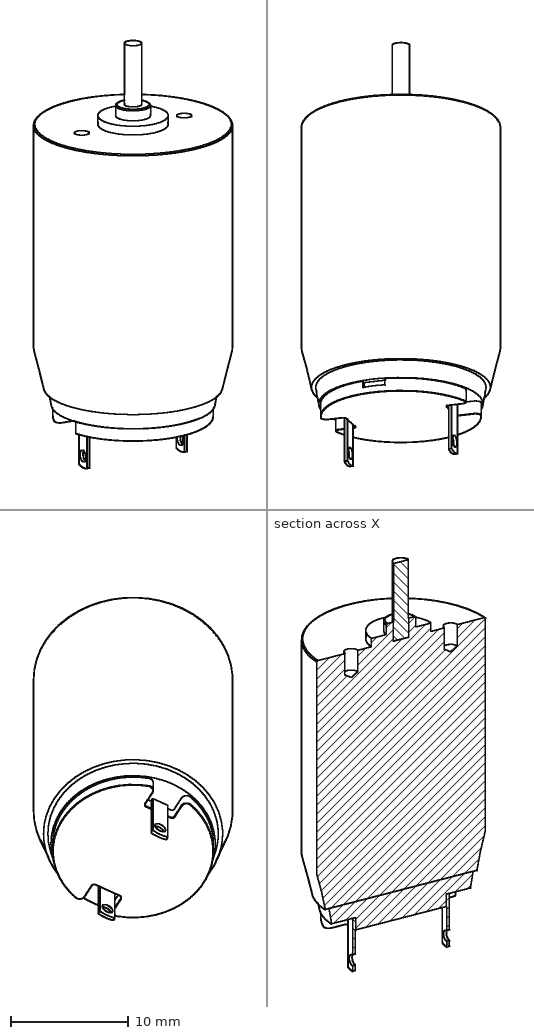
import cadquery as cq
import math


can_diameter = 17.0
can_straight_length = 20.02
can_taper_end_z = -23.55
can_mouth_diameter = 15.3
can_edge_chamfer = 0.1

flange_diameter = 6.0
flange_height = 0.8
bushing_diameter = 3.0
bushing_top_z = 1.8
bushing_chamfer = 0.1

mount_hole_diameter = 1.25
mount_hole_offset = 5.0
mount_hole_depth = 2.0
drill_tip_angle = 118.0

shaft_diameter = 1.5
overall_length = 37.3
shaft_top_z = 7.27

cap_top_diameter = 14.55
cap_rim_diameter = 14.02
cap_rim_z = -25.05
disc_diameter = 13.72
disc_bottom_z = -26.2
disc_edge_chamfer = 0.05

terminal_width = 1.5
terminal_thickness = 0.3
terminal_offset = 4.75
terminal_tip_rise = 0.13
terminal_edge_chamfer = 0.05
terminal_bottom_z = shaft_top_z - overall_length
terminal_hole_diameter = 1.0
terminal_hole_from_tip = 1.05
notch_width = 2.8
notch_floor_fillet = 0.22
notch_mouth_fillet = 0.5

vent_width = 2.0
vent_height = 0.55
vent_depth = 0.5

can_radius = can_diameter / 2
disc_radius = disc_diameter / 2
notch_floor_y = terminal_offset - terminal_thickness / 2
disc_height = cap_rim_z - disc_bottom_z


def cylinder(diameter, bottom_z, top_z):
    """Upright cylinder on the motor axis."""
    return cq.Workplane("XY").workplane(offset=bottom_z).circle(diameter / 2).extrude(top_z - bottom_z)


def frustum(bottom_diameter, bottom_z, top_diameter, top_z):
    """Upright truncated cone on the motor axis."""
    profile = [
        (0, bottom_z),
        (bottom_diameter / 2, bottom_z),
        (top_diameter / 2, top_z),
        (0, top_z),
    ]
    return cq.Workplane("XZ").polyline(profile).close().revolve(360, (0, 0), (0, 1))


def make_mount_hole():
    """Blind drilled hole with a conical tip, opening at Z = 0."""
    radius = mount_hole_diameter / 2
    tip_z = -mount_hole_depth - radius / math.tan(math.radians(drill_tip_angle / 2))
    profile = [(0, 0), (radius, 0), (radius, -mount_hole_depth), (0, tip_z)]
    return cq.Workplane("XZ").polyline(profile).close().revolve(360, (0, 0), (0, 1))


def make_can():
    """Can with its tapered rear end, bearing boss, shaft bore and mounting holes."""
    barrel = cylinder(can_diameter, -can_straight_length, 0).faces(">Z").chamfer(can_edge_chamfer)
    taper = frustum(can_mouth_diameter, can_taper_end_z, can_diameter, -can_straight_length)
    flange = cylinder(flange_diameter, 0, flange_height)
    bushing = cylinder(bushing_diameter, flange_height, bushing_top_z).faces(">Z").chamfer(bushing_chamfer)
    can = barrel.union(taper).union(flange).union(bushing)
    can = can.cut(cylinder(shaft_diameter, 0, bushing_top_z))
    for y in (-mount_hole_offset, mount_hole_offset):
        can = can.cut(make_mount_hole().translate((0, y, 0)))
    return can


def make_shaft():
    """Shaft seated in the bore of the bearing boss."""
    return cylinder(shaft_diameter, 0, shaft_top_z)


def cut_notch(disc, side):
    """Cut the rounded terminal notch on the +Y (side = 1) or -Y (side = -1) edge of the disc."""
    notch_reach = can_radius - notch_floor_y
    notch = (
        cq.Workplane("XY")
        .box(notch_width, notch_reach, disc_height, centered=(True, False, False))
        .faces("<Y").edges("|Z").fillet(notch_floor_fillet)
        .translate((0, notch_floor_y, disc_bottom_z))
    )
    if side < 0:
        notch = notch.mirror("XZ")
    mouth_y = side * math.sqrt(disc_radius**2 - (notch_width / 2) ** 2)
    search_margin = notch_floor_fillet
    mouth_edges = cq.selectors.BoxSelector(
        (-notch_width / 2 - search_margin, mouth_y - search_margin, disc_bottom_z),
        (notch_width / 2 + search_margin, mouth_y + search_margin, cap_rim_z),
    )
    return disc.cut(notch).edges("|Z").edges(mouth_edges).fillet(notch_mouth_fillet)


def make_end_cap():
    """Tapered end cap with a notched disc and a shallow vent pocket under its rim."""
    disc = cylinder(disc_diameter, disc_bottom_z, cap_rim_z)
    for side in (-1, 1):
        disc = cut_notch(disc, side)
    disc = disc.faces("<Z").chamfer(disc_edge_chamfer)
    vent = (
        cq.Workplane("XY")
        .box(vent_depth, vent_width, vent_height, centered=(False, True, False))
        .translate((-disc_radius, 0, cap_rim_z - vent_height))
    )
    taper = frustum(cap_rim_diameter, cap_rim_z, cap_top_diameter, can_taper_end_z)
    return taper.union(disc.cut(vent))


def make_terminal(y):
    """Flat solder tab with chamfered long edges, a slightly rounded tip and an eyelet hole."""
    half_width = terminal_width / 2
    blank = (
        cq.Workplane("XZ", origin=(0, y, 0))
        .moveTo(-half_width, cap_rim_z)
        .lineTo(-half_width, terminal_bottom_z + terminal_tip_rise)
        .threePointArc((0, terminal_bottom_z), (half_width, terminal_bottom_z + terminal_tip_rise))
        .lineTo(half_width, cap_rim_z)
        .close()
        .extrude(terminal_thickness / 2, both=True)
        .edges("|Z").chamfer(terminal_edge_chamfer)
    )
    eyelet = (
        cq.Workplane("XZ", origin=(0, y, 0))
        .moveTo(0, terminal_bottom_z + terminal_hole_from_tip)
        .circle(terminal_hole_diameter / 2)
        .extrude(terminal_thickness, both=True)
    )
    return blank.cut(eyelet)


can = make_can()
shaft = make_shaft()
end_cap = make_end_cap()
terminals = [make_terminal(y) for y in (-terminal_offset, terminal_offset)]

result = cq.Compound.makeCompound(
    [
        can.solids().val(),
        shaft.val(),
        end_cap.solids().val(),
        *[terminal.solids().val() for terminal in terminals],
    ]
)